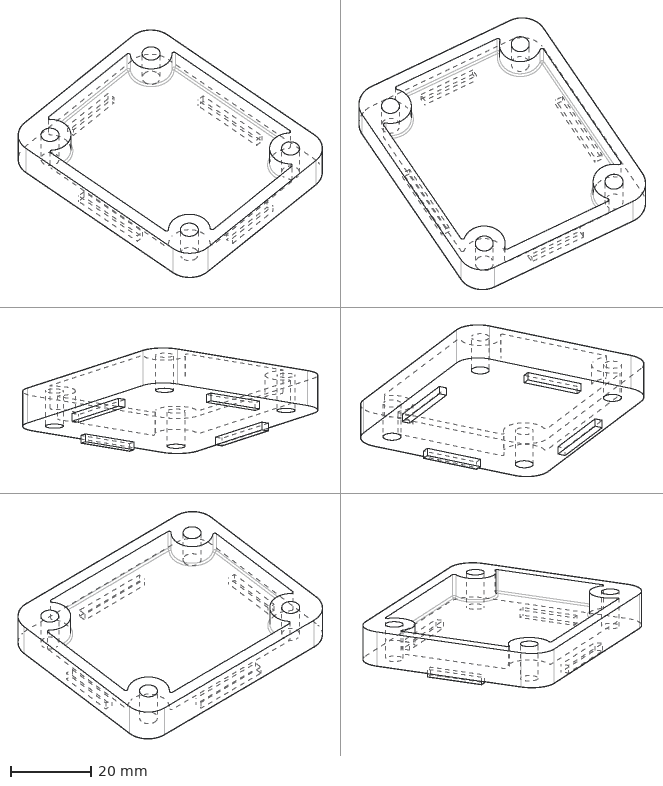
import cadquery as cq

length = 62.0
width = 52.0
body_height = 9.0
corner_radius = 6.15

wall = 3.1
floor_thickness = 3.0
pocket_fillet = 0.5
pocket_length = length - 2 * wall
pocket_width = width - 2 * wall
pocket_depth = body_height - floor_thickness

hole_spacing_x = 47.2
hole_spacing_y = 37.2
hole_diameter = 4.45
post_radius = 5.2

tab_height = 2.0
tab_inset = wall
tab_thickness = 2.0
end_tab_length = 14.9
side_tab_length = 19.85


def make_body():
    """Rounded block standing on the XY plane, centred on the origin."""
    block = cq.Workplane("XY").box(length, width, body_height, centered=(True, True, False))
    return block.edges("|Z").fillet(corner_radius)


def make_pocket():
    """Cavity volume: a rectangle less the corner posts, with softened corners and floor edge."""
    cavity = (
        cq.Workplane("XY", origin=(0, 0, floor_thickness))
        .rect(pocket_length, pocket_width)
        .extrude(pocket_depth)
    )
    posts = (
        cq.Workplane("XY", origin=(0, 0, floor_thickness))
        .rect(hole_spacing_x, hole_spacing_y, forConstruction=True)
        .vertices()
        .circle(post_radius)
        .extrude(pocket_depth)
    )
    corners = (
        cq.Workplane("XY", origin=(0, 0, floor_thickness))
        .rect(pocket_length, pocket_width, forConstruction=True)
        .vertices()
        .rect(pocket_length - hole_spacing_x, pocket_width - hole_spacing_y)
        .extrude(pocket_depth)
    )
    cavity = cavity.cut(posts).cut(corners)
    cavity = cavity.edges("|Z").edges("<X or >X or <Y or >Y").fillet(pocket_fillet)
    return cavity.faces("<Z").edges().fillet(pocket_fillet)


def make_tab(size_x, size_y, center_x, center_y):
    """Rectangular tab hanging below the body."""
    return (
        cq.Workplane("XY")
        .center(center_x, center_y)
        .rect(size_x, size_y)
        .extrude(-tab_height)
    )


result = make_body().cut(make_pocket())

result = (
    result.faces(">Z")
    .workplane(origin=(0, 0, body_height))
    .rect(hole_spacing_x, hole_spacing_y, forConstruction=True)
    .vertices()
    .hole(hole_diameter)
)

end_tab_x = length / 2 - tab_inset - tab_thickness / 2
side_tab_y = width / 2 - tab_inset - tab_thickness / 2
for side in (-1, 1):
    result = result.union(make_tab(tab_thickness, end_tab_length, side * end_tab_x, 0))
    result = result.union(make_tab(side_tab_length, tab_thickness, 0, side * side_tab_y))